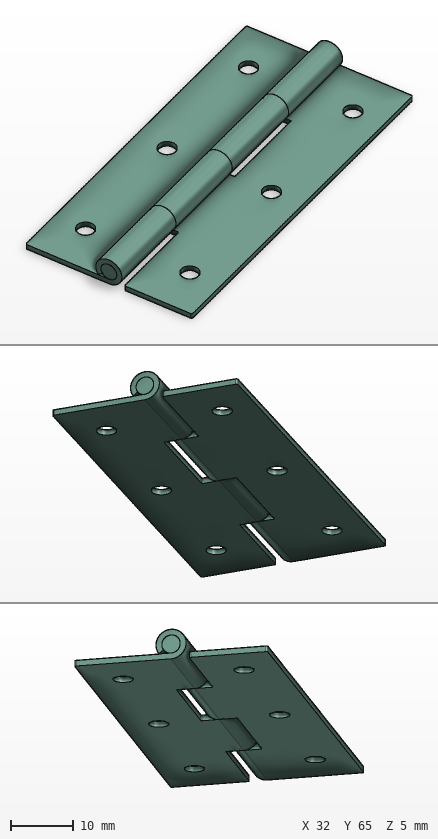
import cadquery as cq
import math

length = 65.0
width = 32.0
thickness = 1.0

knuckle_diameter = 5.0
outer_radius = knuckle_diameter / 2
pin_radius = outer_radius - thickness
middle_knuckle_length = 16.6
curl_end_gap = 1.0

notch_half_width = 3.0
notch_corner_radius = 0.1

corner_radius = 0.3

hole_diameter = 3.25
hole_offset = 10.0
hole_pitch = 24.0

boundaries = [
    -length / 2,
    -middle_knuckle_length,
    0,
    middle_knuckle_length,
    length / 2,
]
knuckle_spans = list(zip(boundaries[:-1], boundaries[1:]))


def extrude_along_y(profile, start, end):
    """Extrude a closed XZ profile from Y = start to Y = end."""
    return profile.extrude(start - end).translate((0, start, 0))


def left_knuckle(start, end):
    """A strip of plate whose end is rolled counterclockwise around the pin."""
    end_angle = math.pi + math.asin((outer_radius - thickness) / outer_radius)
    end_angle -= math.radians(curl_end_gap)
    middle_angle = (end_angle - math.pi / 2) / 2

    def on_roll(radius, angle):
        return (radius * math.cos(angle), outer_radius + radius * math.sin(angle))

    profile = (
        cq.Workplane("XZ")
        .moveTo(-notch_half_width, 0)
        .lineTo(0, 0)
        .threePointArc(on_roll(outer_radius, middle_angle), on_roll(outer_radius, end_angle))
        .lineTo(*on_roll(pin_radius, end_angle))
        .threePointArc(on_roll(pin_radius, middle_angle), (0, thickness))
        .lineTo(-notch_half_width, thickness)
        .close()
    )
    return extrude_along_y(profile, start, end)


def left_plate(knuckles):
    """Flat plate with rounded corners, the root of each knuckle and the screw holes."""
    plate_width = width / 2 - notch_half_width
    plate = (
        cq.Workplane("XY")
        .box(plate_width, length, thickness, centered=(False, True, False))
        .translate((-width / 2, 0, 0))
    )
    for start, end in knuckles:
        root = (
            cq.Workplane("XY")
            .box(notch_half_width, end - start, thickness, centered=(False, False, False))
            .translate((-notch_half_width, start, 0))
        )
        plate = plate.union(root)

    notch_region = 3 * middle_knuckle_length

    plate_edges = cq.selectors.BoxSelector(
        (-width, -length, -thickness), (-notch_half_width / 2, length, 2 * thickness)
    )
    notch_corners = cq.selectors.BoxSelector(
        (-width, -notch_region / 2, -thickness),
        (-notch_half_width / 2, notch_region / 2, 2 * thickness),
    )
    plate = plate.edges("|Z").edges(plate_edges - notch_corners).fillet(corner_radius)
    plate = plate.edges("|Z").edges(notch_corners).fillet(notch_corner_radius)

    holes = (
        cq.Workplane("XY")
        .pushPoints([(-hole_offset, row * hole_pitch) for row in (-1, 0, 1)])
        .circle(hole_diameter / 2)
        .extrude(thickness)
    )
    return plate.cut(holes)


def left_leaf():
    """Leaf on the -X side, holding the first and third knuckles from the front."""
    knuckles = knuckle_spans[0::2]
    leaf = left_plate(knuckles)
    for start, end in knuckles:
        leaf = leaf.union(left_knuckle(start, end))
    return leaf


def hinge_pin():
    """Plain pin, flush with both ends of the hinge."""
    profile = cq.Workplane("XZ").center(0, outer_radius).circle(pin_radius)
    return extrude_along_y(profile, -length / 2, length / 2)


leaf_angles = (0, 180)
leaves = [left_leaf().rotate((0, 0, 0), (0, 0, 1), angle) for angle in leaf_angles]
pin = hinge_pin()

result = cq.Compound.makeCompound([*[leaf.val() for leaf in leaves], pin.val()])